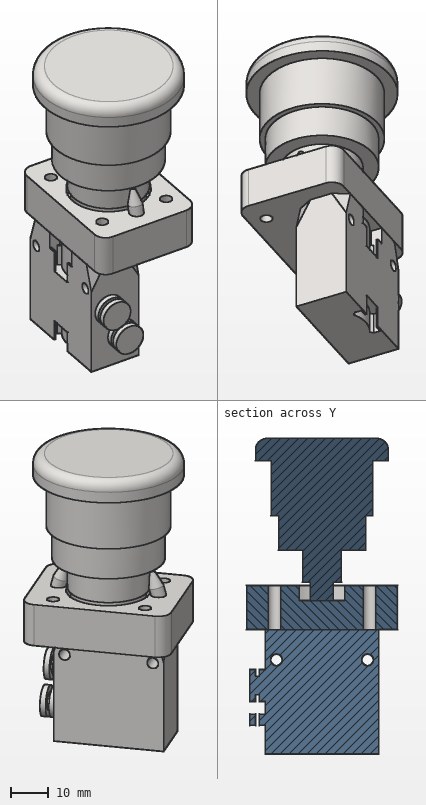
import cadquery as cq
import math

block_width = 30.0
block_depth = 14.9
block_height = 32.9
block_front = -block_width / 2

corner_inset_x = 2.4
corner_inset_y = 4.3
corner_drop = 7.5

mount_hole_diameter = 3.0
mount_hole_x = 12.0
mount_hole_z = 24.9

pocket_depth = 3.2
slot_width = 6.4
slot_floor = 21.9
undercut_width = 10.7
undercut_start = 0.5
undercut_side = 2.3
shelf_floor = 28.0
foot_slot_height = 6.0
boss_diameter = 18.0
boss_width = 9.0

fitting_diameter = 8.5
fitting_neck_diameter = 5.0
fitting_offset_y = 2.0
lower_fitting_height = 9.1
upper_fitting_height = 18.1
collar_length = 1.6
fitting_neck_length = 0.9

flange_width = 40.0
flange_depth = 30.0
flange_height = 11.7
flange_corner_radius = 3.5
flange_hole_diameter = 3.25
flange_hole_x = 12.5
flange_hole_y = 10.0
recess_diameter = 22.5
recess_depth = 4.0

pin_diameter = 4.0
pin_tip_diameter = 1.25
pin_tilt = 15.0
pin_base_x = 13.6
pin_straight_length = 2.4
pin_cone_length = 4.35
pin_root = 1.7

neck_diameter = 20.0
stem_diameter = 21.7
collar_diameter = 30.0
body_diameter = 33.0
cap_diameter = 40.0
neck_length = 0.75
stem_length = 8.4
lower_collar_length = 9.1
body_length = 14.5
cap_rounding = 3.0
total_height = 83.5

flange_top = block_height + flange_height


def corner_taper(side_x, side_y, face_y):
    """Tetrahedron that bevels one upper corner of the block."""
    corner = cq.Vector(side_x * block_width / 2, face_y, block_height)
    along_x = corner - cq.Vector(side_x * corner_inset_x, 0, 0)
    along_y = corner - cq.Vector(0, side_y * corner_inset_y, 0)
    below = corner - cq.Vector(0, 0, corner_drop)
    triangles = (
        (corner, along_x, along_y),
        (corner, along_y, below),
        (corner, below, along_x),
        (along_x, below, along_y),
    )
    faces = [cq.Face.makeFromWires(cq.Wire.makePolygon(list(t), close=True)) for t in triangles]
    return cq.Workplane(cq.Solid.makeSolid(cq.Shell.makeShell(faces)))


def slot_pocket(bottom, height):
    """Narrow slot that widens behind the front face."""
    half_slot = slot_width / 2
    half_undercut = undercut_width / 2
    half_boss = boss_width / 2
    undercut = block_front + undercut_start
    outline = [
        (half_slot, block_front),
        (half_slot, undercut),
        (half_undercut, undercut),
        (half_undercut, block_front + undercut_side),
        (half_boss, block_front + pocket_depth),
    ]
    mirrored = [(-x, y) for x, y in reversed(outline)]
    return cq.Workplane("XY", origin=(0, 0, bottom)).polyline(outline + mirrored).close().extrude(height)


def shelf_pocket():
    """Wide straight pocket above the narrow slot."""
    return (
        cq.Workplane("XY", origin=(0, block_front + pocket_depth / 2, shelf_floor))
        .rect(undercut_width, pocket_depth)
        .extrude(block_height - shelf_floor)
    )


def rounded_boss():
    """Full-height convex boss standing forward from the back of the pockets."""
    half_boss = boss_width / 2
    back = block_front + pocket_depth
    radius = boss_diameter / 2
    rise = radius - math.sqrt(radius**2 - half_boss**2)
    return (
        cq.Workplane("XY")
        .moveTo(-half_boss, back)
        .threePointArc((0, back - rise), (half_boss, back))
        .close()
        .extrude(block_height)
    )


def fitting(y, height):
    """Grooved hose fitting standing on the +X side of the block."""
    side = cq.Workplane("YZ", origin=(block_width / 2, y, height))
    collar = side.circle(fitting_diameter / 2).extrude(collar_length)
    neck = collar.faces(">X").workplane().circle(fitting_neck_diameter / 2).extrude(fitting_neck_length)
    return neck.faces(">X").workplane().circle(fitting_diameter / 2).extrude(collar_length)


def make_valve():
    block_back = block_front + block_depth
    valve = cq.Workplane("XY").box(block_width, block_depth, block_height, centered=(True, False, False))
    valve = valve.translate((0, block_front, 0))
    for side_x in (-1, 1):
        valve = valve.cut(corner_taper(side_x, -1, block_front))
        valve = valve.cut(corner_taper(side_x, 1, block_back))
    pockets = shelf_pocket()
    pockets = pockets.union(slot_pocket(slot_floor, shelf_floor - slot_floor))
    pockets = pockets.union(slot_pocket(0, foot_slot_height))
    valve = valve.cut(pockets.cut(rounded_boss()))
    mount_holes = (
        cq.Workplane("XZ", origin=(0, block_back, 0))
        .pushPoints([(-mount_hole_x, mount_hole_z), (mount_hole_x, mount_hole_z)])
        .circle(mount_hole_diameter / 2)
        .extrude(block_depth)
    )
    valve = valve.cut(mount_holes)
    middle = block_front + block_depth / 2
    valve = valve.union(fitting(middle - fitting_offset_y, upper_fitting_height))
    return valve.union(fitting(middle + fitting_offset_y, lower_fitting_height))


def inclined_pin(side):
    """Pointed pin leaning towards the stem, rooted below the flange top."""
    tilt = math.radians(pin_tilt)
    axis = cq.Vector(-side * math.sin(tilt), 0, math.cos(tilt))
    base = cq.Vector(side * pin_base_x, 0, flange_top)
    root = base - axis * pin_root
    shoulder = pin_root + pin_straight_length
    profile = [
        (0, 0),
        (pin_diameter / 2, 0),
        (pin_diameter / 2, shoulder),
        (pin_tip_diameter / 2, shoulder + pin_cone_length),
        (0, shoulder + pin_cone_length),
    ]
    across = cq.Vector(0, 1, 0)
    axial_plane = cq.Plane(origin=root.toTuple(), xDir=across.toTuple(), normal=across.cross(axis).toTuple())
    return cq.Workplane(axial_plane).polyline(profile).close().revolve(360, (0, 0, 0), (0, 1, 0))


def make_flange():
    flange = (
        cq.Workplane("XY", origin=(0, 0, block_height))
        .rect(flange_width, flange_depth)
        .extrude(flange_height)
        .edges("|Z")
        .fillet(flange_corner_radius)
    )
    for side in (-1, 1):
        flange = flange.union(inclined_pin(side))
    recess = (
        cq.Workplane("XY", origin=(0, 0, flange_top - recess_depth))
        .circle(recess_diameter / 2)
        .extrude(recess_depth)
    )
    screw_holes = (
        cq.Workplane("XY", origin=(0, 0, block_height))
        .rect(2 * flange_hole_x, 2 * flange_hole_y, forConstruction=True)
        .vertices()
        .circle(flange_hole_diameter / 2)
        .extrude(flange_height)
    )
    return flange.cut(recess).cut(screw_holes)


def make_head():
    bottom = flange_top - recess_depth
    stem_bottom = flange_top + neck_length
    collar_bottom = stem_bottom + stem_length
    body_bottom = collar_bottom + lower_collar_length
    cap_bottom = body_bottom + body_length
    sections = (
        (neck_diameter, bottom, stem_bottom),
        (stem_diameter, stem_bottom, collar_bottom),
        (collar_diameter, collar_bottom, body_bottom),
        (body_diameter, body_bottom, cap_bottom),
        (cap_diameter, cap_bottom, total_height),
    )
    head = cq.Workplane("XY")
    for diameter, low, high in sections:
        step = cq.Workplane("XY", origin=(0, 0, low)).circle(diameter / 2).extrude(high - low)
        head = head.union(step)
    return head.faces(">Z").edges().fillet(cap_rounding)


valve = make_valve()
flange = make_flange()
head = make_head()

result = cq.Compound.makeCompound([valve.val(), flange.val(), head.val()])